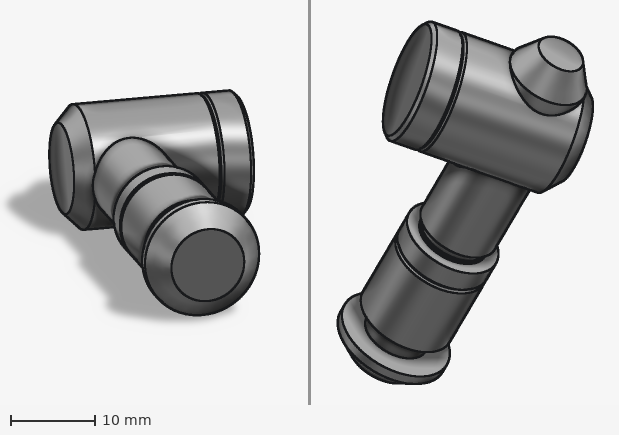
import cadquery as cq
import math

ROD_LENGTH = 51.0
ROD_RADIUS = 5.0
TIP_RADIUS = 2.9
TIP_LENGTH = 3.55
SHANK_END = 29.25
TAPER_END = 30.5
TAPER_END_RADIUS = 4.3
RELIEF_END = 30.65
SHOULDER_RADIUS = 4.4
COLLAR_START = 30.95
COLLAR_END = 44.2
COLLAR_RADIUS = 5.95
COLLAR_GROOVE_CENTER = 34.0
NECK_RADIUS = 4.05
HEAD_START = 47.25
HEAD_RADIUS = 7.05
HEAD_RIM = 1.3
HEAD_FACE_RADIUS = 4.5

NOTCH_RAMP_TOP = 19.95
NOTCH_DEPTH = 2.55
NOTCH_RAMP_ANGLE = 30.0

BARREL_X = 11.15
BARREL_RADIUS = 7.5
BARREL_FRONT = -6.8
BARREL_BACK = 14.95
FRONT_CHAMFER = 2.05
BACK_CHAMFER = 0.5
BARREL_GROOVE_CENTER = BARREL_BACK - 4.1

GROOVE_DEPTH = 0.3


def v_groove(center, radius):
    """Axial position and radius of the three corners of a V groove."""
    return [
        (center - GROOVE_DEPTH, radius),
        (center, radius - GROOVE_DEPTH),
        (center + GROOVE_DEPTH, radius),
    ]


def make_rod():
    profile = [
        (0, 0),
        (0, TIP_RADIUS),
        (TIP_LENGTH, ROD_RADIUS),
        (SHANK_END, ROD_RADIUS),
        (TAPER_END, TAPER_END_RADIUS),
        (RELIEF_END, TAPER_END_RADIUS),
        (RELIEF_END, SHOULDER_RADIUS),
        (COLLAR_START, SHOULDER_RADIUS),
        (COLLAR_START, COLLAR_RADIUS),
        *v_groove(COLLAR_GROOVE_CENTER, COLLAR_RADIUS),
        (COLLAR_END, COLLAR_RADIUS),
        (COLLAR_END, NECK_RADIUS),
        (HEAD_START, NECK_RADIUS),
        (HEAD_START, HEAD_RADIUS),
        (HEAD_START + HEAD_RIM, HEAD_RADIUS),
        (ROD_LENGTH, HEAD_FACE_RADIUS),
        (ROD_LENGTH, 0),
    ]
    turned = cq.Workplane("XY").polyline(profile).close().revolve(360, (0, 0), (1, 0))
    return turned.cut(make_notch())


def make_notch():
    """Wedge with a sloping ramp toward the head and a square wall toward the tip."""
    ramp_length = NOTCH_DEPTH / math.tan(math.radians(NOTCH_RAMP_ANGLE))
    wall_x = NOTCH_RAMP_TOP - ramp_length
    corners = [
        (NOTCH_RAMP_TOP, ROD_RADIUS),
        (wall_x, ROD_RADIUS),
        (wall_x, ROD_RADIUS - NOTCH_DEPTH),
    ]
    return cq.Workplane("XY").polyline(corners).close().extrude(ROD_RADIUS, both=True)


def make_barrel():
    outline = [
        (BARREL_FRONT, 0),
        (BARREL_FRONT, BARREL_RADIUS - FRONT_CHAMFER),
        (BARREL_FRONT + FRONT_CHAMFER, BARREL_RADIUS),
        *v_groove(BARREL_GROOVE_CENTER, BARREL_RADIUS),
        (BARREL_BACK - BACK_CHAMFER, BARREL_RADIUS),
        (BARREL_BACK, BARREL_RADIUS - BACK_CHAMFER),
        (BARREL_BACK, 0),
    ]
    profile = [(radius, y) for y, radius in outline]
    turned = cq.Workplane("XY").polyline(profile).close().revolve(360, (0, 0), (0, 1))
    return turned.translate((BARREL_X, 0, 0)).cut(make_rod_bore())


def make_rod_bore():
    """Cross bore through the barrel that fits the rod shank."""
    bore_length = 2 * BARREL_RADIUS
    bore = cq.Workplane("YZ").circle(ROD_RADIUS).extrude(bore_length)
    return bore.translate((BARREL_X - BARREL_RADIUS, 0, 0))


rod = make_rod()
barrel = make_barrel()

result = cq.Compound.makeCompound([rod.val(), barrel.val()])